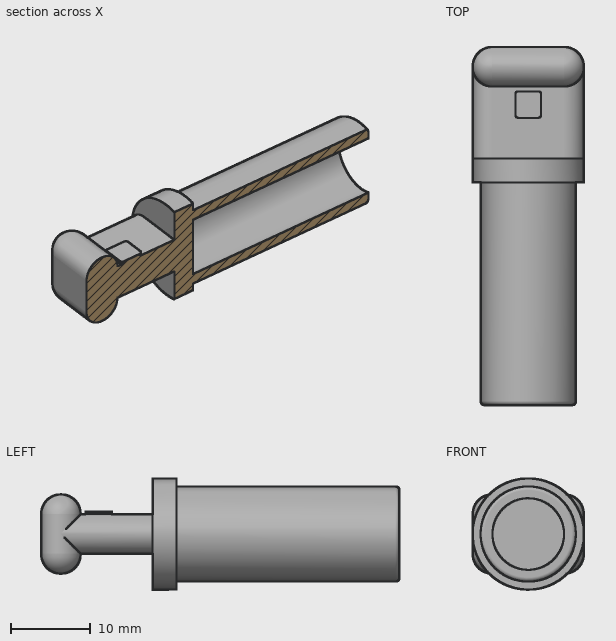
import cadquery as cq


total_length = 45.0

tube_diameter = 11.95
bore_diameter = 9.0
tube_length = 28.0
tube_end_round = 0.5

flange_diameter = 14.0
flange_thickness = 3.0

grip_width = flange_diameter
grip_thickness = 5.0
head_height = 2 * grip_thickness
head_radius = grip_thickness / 2
head_y = total_length - tube_length - head_radius

pad_width = 3.25
pad_length = 3.35
pad_height = 0.3
pad_corner_radius = 0.35
pad_to_head_end = 7.25
pad_y = total_length - tube_length - pad_to_head_end


def disc(diameter, start_y, length):
    """Round bar along +Y, starting at start_y."""
    plane = cq.Workplane("XZ", origin=(0, start_y, 0))
    return plane.circle(diameter / 2).extrude(-length)


def make_tube():
    """Tube with a rounded outer end."""
    tube = disc(tube_diameter, -tube_length, tube_length)
    return tube.faces("<Y").edges().fillet(tube_end_round)


def make_bore():
    """Blind bore that stops at the flange."""
    return disc(bore_diameter, -tube_length, tube_length)


def make_grip():
    """Plate with fully round side edges, from the flange to the middle of the head."""
    profile = cq.Workplane("XZ", origin=(0, flange_thickness, 0)).slot2D(grip_width, grip_thickness)
    return profile.extrude(flange_thickness - head_y)


def make_head():
    """Rounded block: a core framed by round bars that meet in ball corners."""
    span_x = grip_width - 2 * head_radius
    span_z = head_height - 2 * head_radius
    head = cq.Workplane("XY").box(span_x, 2 * head_radius, span_z)
    for side in (-1, 1):
        upright = cq.Workplane("XY").circle(head_radius).extrude(span_z / 2, both=True)
        crossbar = cq.Workplane("YZ").circle(head_radius).extrude(span_x / 2, both=True)
        head = head.union(upright.translate((side * span_x / 2, 0, 0)))
        head = head.union(crossbar.translate((0, 0, side * span_z / 2)))
        for end in (-1, 1):
            ball = cq.Workplane("XY").sphere(head_radius)
            head = head.union(ball.translate((side * span_x / 2, 0, end * span_z / 2)))
    return head.translate((0, head_y, 0))


def make_pad():
    """Raised pad with rounded corners."""
    pad = cq.Workplane("XY", origin=(0, pad_y, grip_thickness / 2)).rect(pad_width, pad_length)
    return pad.extrude(pad_height).edges("|Z").fillet(pad_corner_radius)


flange = disc(flange_diameter, 0, flange_thickness)
result = flange.union(make_tube()).union(make_grip()).union(make_head()).union(make_pad())
result = result.cut(make_bore())